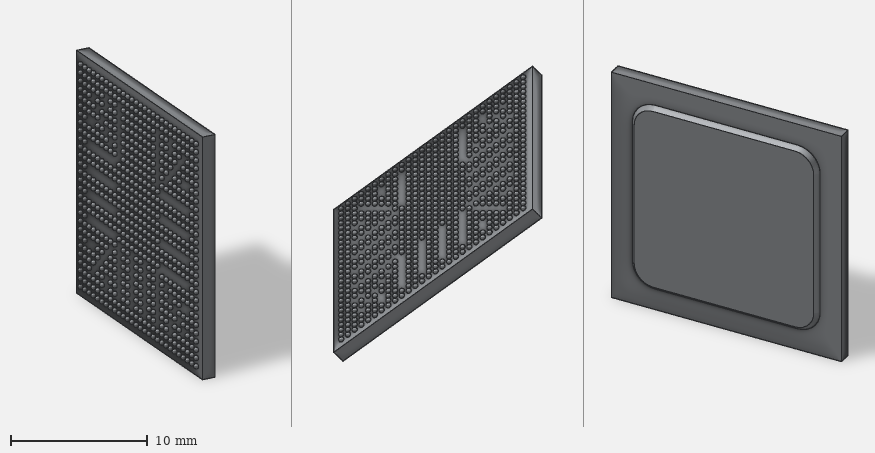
import cadquery as cq
import math

SIDE = 19.15
PLATE_THICKNESS = 1.03

BALL_DIAMETER = 0.4
BALL_RADIUS = BALL_DIAMETER / 2
BALL_HEIGHT = 0.29

LID_SIDE = 15.63
LID_CORNER_RADIUS = 1.92
LID_HEIGHT = 0.36
LID_WALL_HEIGHT = 0.02
LID_BEVEL = LID_HEIGHT - LID_WALL_HEIGHT

QUARTER_GRID = (
    "oooooooooooooo",
    "oooooooooooooo",
    "oooooo.oo.oooo",
    "ooo.oo.oo.oooo",
    "oooo.oooo.oooo",
    "ooooo.ooo.oooo",
    "oo..oo.oo.oooo",
    "ooooooo.o.oooo",
    "ooooooooo.oooo",
    "oo.......ooooo",
    "oooooooooooooo",
    "oooooooooooooo",
    "oo.......ooooo",
    "oooooooooooooo",
)
HALF_COUNT = len(QUARTER_GRID)

GRID_SPAN = 17.55
BALL_PITCH = GRID_SPAN / (2 * HALF_COUNT - 1)

LOWER_CHANNEL_COLUMN = 12
LOWER_CHANNEL_ROWS = range(2, 9)


def make_plate():
    """Plate with its front face on Y = 0 and its back face on +Y."""
    return cq.Workplane("XY").box(SIDE, PLATE_THICKNESS, SIDE, centered=(True, False, True))


def make_lid():
    """Low rounded square on the back face, with its free rim bevelled at 45 degrees."""
    back = cq.Workplane("XZ", origin=(0, PLATE_THICKNESS, 0))
    lid = back.rect(LID_SIDE, LID_SIDE).extrude(-LID_HEIGHT)
    lid = lid.edges("|Y").fillet(LID_CORNER_RADIUS)
    return lid.faces(">Y").edges().chamfer(LID_BEVEL)


def ball_places():
    """Centres of the balls: the quarter grid mirrored left-right and top-bottom."""
    places = []
    for row, line in enumerate(QUARTER_GRID):
        for column, mark in enumerate(line):
            if mark != "o":
                continue
            x = (HALF_COUNT - 0.5 - column) * BALL_PITCH
            z = (HALF_COUNT - 0.5 - row) * BALL_PITCH
            places += [(-x, z), (x, z)]
            in_channel = column == LOWER_CHANNEL_COLUMN and row in LOWER_CHANNEL_ROWS
            if not in_channel:
                places += [(-x, -z), (x, -z)]
    return places


def make_balls():
    """Every ball as a cap standing on the front face, round about its own Y axis."""
    centre_offset = BALL_HEIGHT - BALL_RADIUS
    foot_radius = math.sqrt(BALL_RADIUS**2 - centre_offset**2)
    ball = (
        cq.Workplane("XY")
        .moveTo(0, 0)
        .lineTo(foot_radius, 0)
        .threePointArc((BALL_RADIUS, -centre_offset), (0, -BALL_HEIGHT))
        .close()
        .revolve(360, (0, 0), (0, 1))
        .val()
    )
    return [ball.moved(cq.Location(cq.Vector(x, 0, z))) for x, z in ball_places()]


body = make_plate().union(make_lid()).val()
result = cq.Workplane("XY").newObject([body.fuse(*make_balls())])